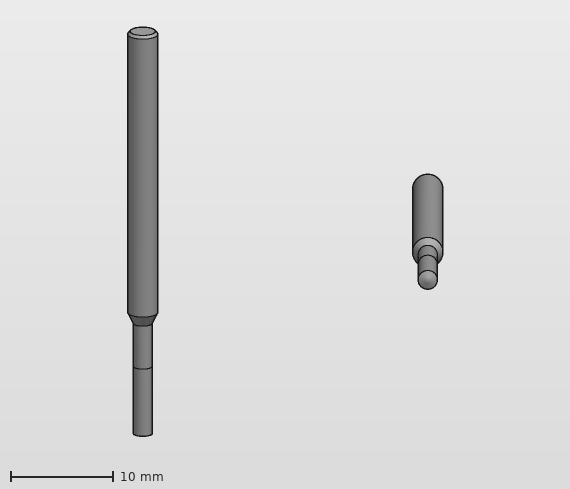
import cadquery as cq

total_length = 42.0
shank_radius = 3.0 / 2
end_chamfer_width = 0.25
end_chamfer_height = 0.3

neck_radius = 1.9 / 2
taper_top = 12.9
taper_bottom = 11.75

head_radius = neck_radius
head_top = 7.3
tip_height = 0.35


def make_shank():
    """Round shank with a chamfered end, tapering down to a slim neck."""
    profile = [
        (0, head_top),
        (neck_radius, head_top),
        (neck_radius, taper_bottom),
        (shank_radius, taper_top),
        (shank_radius, total_length - end_chamfer_height),
        (shank_radius - end_chamfer_width, total_length),
        (0, total_length),
    ]
    return cq.Workplane("XZ").polyline(profile).close().revolve(360, (0, 0), (0, 1))


def make_cutting_head():
    """Plain cylinder with a shallow conical tip, butted against the neck."""
    profile = [
        (0, 0),
        (head_radius, tip_height),
        (head_radius, head_top),
        (0, head_top),
    ]
    return cq.Workplane("YZ").polyline(profile).close().revolve(360, (0, 0), (0, 1))


shank = make_shank()
cutting_head = make_cutting_head()

result = cq.Compound.makeCompound([shank.val(), cutting_head.val()])